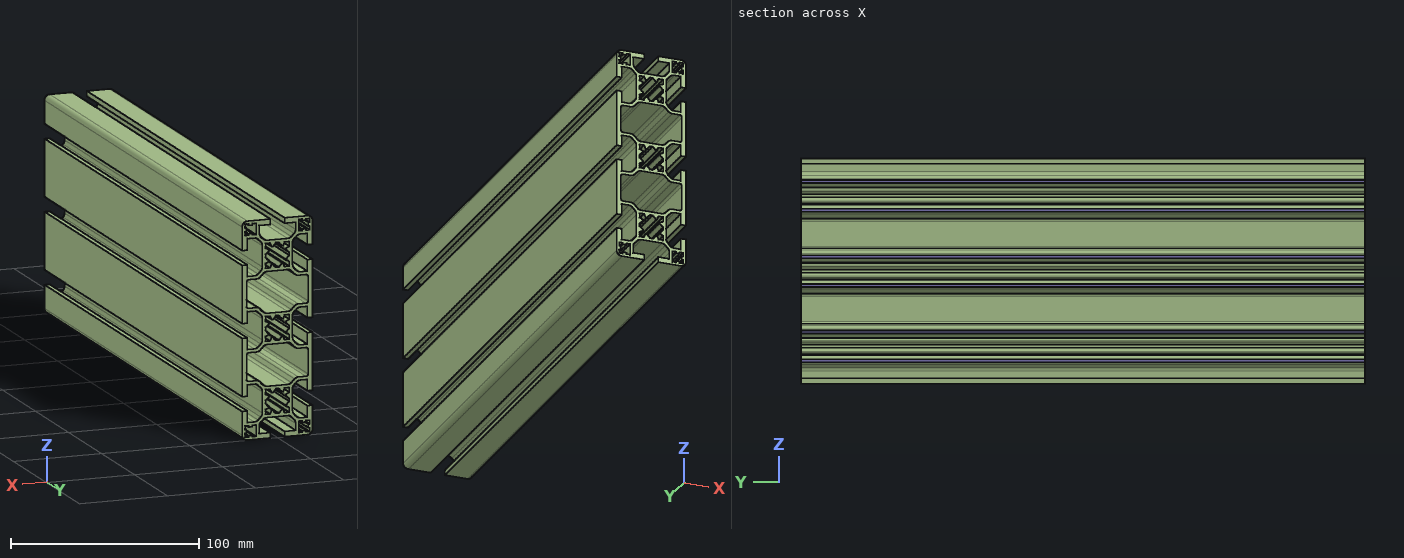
import cadquery as cq

length = 300.0
height = 120.0
cell_count = 3
cell = height / cell_count
half_cell = cell / 2
corner_radius = 3.0

slot_opening = 8.0
slot_width = 20.7
slot_half_width = slot_width / 2
lip = 3.0

web = 1.8
core_width = 17.0
core_half = core_width / 2
core_wall = 1.8
bend_radius = 3.0
diagonal_offset = 1.5

tooth_start = 0.75
tooth_peak = 3.0
tooth_end = 4.2
tooth_height = 2.5
tooth_radius = 0.45

corner_wall = 1.65
bump_width = 2.0
bump_height = 0.75

hollow_wall = 2.55
hollow_corner_radius = 1.2

quarter_turns = (0, 90, 180, 270)
cell_centers = [(i - (cell_count - 1) / 2) * cell for i in range(cell_count)]
hollow_centers = [(low + high) / 2 for low, high in zip(cell_centers, cell_centers[1:])]


def extrude(points):
    """Prism over the whole length from an (x, z) outline."""
    return cq.Workplane("XZ").polyline(points).close().extrude(length / 2, both=True)


def mirrored(right_points):
    """Outline completed by mirroring its right half to -X."""
    return right_points + [(-x, z) for x, z in reversed(right_points)]


def rectangle(x_min, x_max, z_min, z_max):
    """Prism with a rectangular outline."""
    return extrude([(x_min, z_min), (x_max, z_min), (x_max, z_max), (x_min, z_max)])


def place(shape, angle, z):
    """Turn a prism about the Y axis, then lift it to the height z."""
    return shape.rotate((0, 0, 0), (0, 1, 0), angle).translate((0, 0, z))


def t_slot():
    """Slot of a cell centred on the Y axis, opening towards +Z."""
    roof = half_cell - lip
    cavity = extrude(mirrored([
        (core_half - diagonal_offset, core_half),
        (slot_half_width, slot_half_width + diagonal_offset),
        (slot_half_width, roof),
    ]))
    cavity = cavity.edges("|Y exc >Z").fillet(bend_radius)
    throat = rectangle(-slot_opening / 2, slot_opening / 2, core_half, half_cell)
    return cavity.union(throat)


def bore_tooth(side):
    """Round-tipped tooth on the +Z wall of a bore."""
    root = core_half - core_wall
    tooth = extrude([
        (side * tooth_start, root),
        (side * tooth_peak, root - tooth_height),
        (side * tooth_end, root),
    ])
    return tooth.edges("|Y and <Z").fillet(tooth_radius)


def core_bore():
    """Square bore with a pair of teeth on each wall."""
    bore_half = core_half - core_wall
    bore = rectangle(-bore_half, bore_half, -bore_half, bore_half)
    for angle in quarter_turns:
        for side in (-1, 1):
            bore = bore.cut(place(bore_tooth(side), angle, 0))
    return bore


def middle_hollow():
    """Hollow between two neighbouring cells, centred on the Y axis."""
    half_width = half_cell - hollow_wall
    shoulder = half_cell - slot_half_width - web
    top = mirrored([
        (half_width, shoulder),
        (slot_half_width + web - diagonal_offset, shoulder),
        (core_half - diagonal_offset, half_cell - core_half),
    ])
    hollow = extrude(top + [(-x, -z) for x, z in top])
    hollow = hollow.edges("|Y exc (>X or <X)").fillet(bend_radius)
    return hollow.edges("|Y and (>X or <X)").fillet(hollow_corner_radius)


def corner_hollow():
    """Square hollow centred on the Y axis, with a bump on every wall but the one at -X."""
    half = (half_cell - corner_wall - slot_half_width - web) / 2
    hollow = rectangle(-half, half, -half, half)
    bump = rectangle(-bump_width / 2, bump_width / 2, half - bump_height, half)
    for angle in (0, 90, 180):
        hollow = hollow.cut(place(bump, angle, 0))
    return hollow


bar = cq.Workplane("XY").box(cell, length, height).edges("|Y").fillet(corner_radius)

for z in cell_centers:
    bar = bar.cut(place(core_bore(), 0, z))
    for angle in (90, 270):
        bar = bar.cut(place(t_slot(), angle, z))

bar = bar.cut(place(t_slot(), 0, cell_centers[-1]))
bar = bar.cut(place(t_slot(), 180, cell_centers[0]))

for z in hollow_centers:
    bar = bar.cut(place(middle_hollow(), 0, z))

corner_offset = (half_cell - corner_wall + slot_half_width + web) / 2
side_hollow = corner_hollow().translate((corner_offset, 0, 0))
for angle in (0, 180):
    bar = bar.cut(place(side_hollow, angle, cell_centers[-1] + corner_offset))
    bar = bar.cut(place(side_hollow, angle, cell_centers[0] - corner_offset))

result = bar